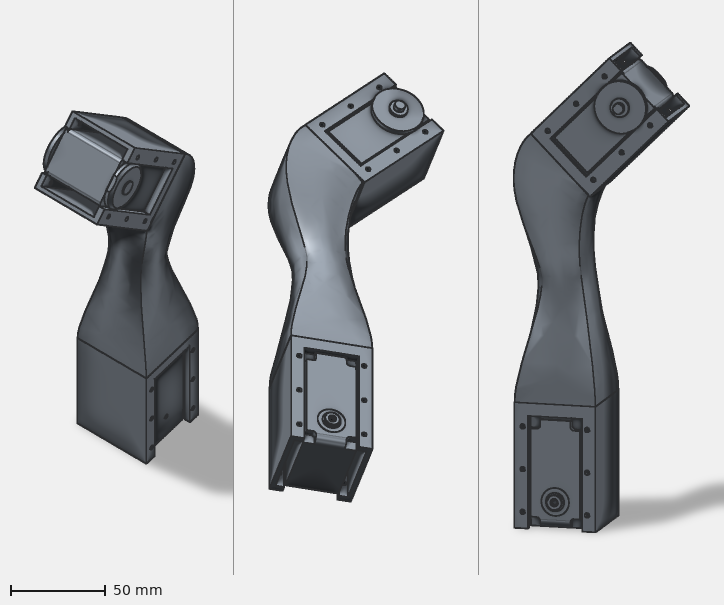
import cadquery as cq
import math

TOTAL_HEIGHT = 255.0
BASE_WIDTH = 46.5
BASE_DEPTH = 44.5
BASE_LENGTH = 67.5
HEAD_WIDTH = 41.8
HEAD_DEPTH = 45.7
HEAD_LENGTH = 60.7
HEAD_TILT = 45
HEAD_START_Y = -2.3

HEAD_TILT_ANGLE = math.radians(HEAD_TILT)
HEAD_RISE = HEAD_LENGTH * math.cos(HEAD_TILT_ANGLE) + HEAD_DEPTH / 2 * math.sin(HEAD_TILT_ANGLE)
HEAD_START = (HEAD_START_Y, TOTAL_HEIGHT - HEAD_RISE)

WAIST_RADIUS = 15.3
WAIST_CENTRE = (0.0, 135.2)
WAIST_LEAN = 8
SPINE_PULL = 0.8
SECTIONS_PER_HALF = 6
NECK_STEP = 0.13

BASE_FLOOR = 7.0
HEAD_FLOOR = 6.0
SHELL_WALL = 2.5
LEFT_WALL = 3.0
RIGHT_WALL = 3.5
SCREW_OFFSET = 17.5
SCREW_INSET = 9.0
SCREWS_PER_ROW = 3

SERVO_LEFT_INSET = 2.5
SERVO_RIGHT_INSET = 4.0
SERVO_END_GAP = 0.8
CAP_INSET = 0.8
CAP_MARGIN = 1.0
CAP_FLOOR_GAP = 1.8

BASE_WINDOW = 29.8
BASE_SERVO_DEPTH = 28.8
BASE_SCREW_PITCH = 23.0
BASE_SCREW_DIAMETER = 2.5
BASE_SHAFT_INSET = 15.0
HEAD_WINDOW = 27.5
HEAD_SERVO_DEPTH = 27.5
HEAD_SCREW_PITCH = 22.0
HEAD_SCREW_DIAMETER = 2.5
HEAD_SHAFT_INSET = 13.3

NOTCH_DEPTH_Y = 6.0
NOTCH_LENGTH = 7.0
END_NOTCH_LENGTH = 5.5
NOTCH_CUT = 3.8
NOTCH_RADIUS = 2.0
END_ROUND = 4.5
SHAFT_BOSS = 1.5
SHAFT_RING_DIAMETER = 15.0
SHAFT_RING_HEIGHT = 0.3
SHAFT_STEP_DIAMETER = 10.0
SHAFT_STEP_HEIGHT = 0.8
SHAFT_DIAMETER = 8.0
SHAFT_BORE_DIAMETER = 4.0
SHAFT_BORE_DEPTH = 1.5
SHAFT_HOLE_DIAMETER = 2.5

HEAD_EDGE_ROUND = 2.0
HORN_DIAMETER = 28.0
HORN_GAP = 0.3
HORN_THICKNESS = 2.8
HUB_DIAMETER = 10.0
HUB_HEIGHT = 1.5
PIN_DIAMETER = 5.5
PIN_HEIGHT = 2.8
IDLER_CHAMFER = 1.8
IDLER_BOSS_DIAMETER = 8.0
IDLER_BOSS_HEIGHT = 0.8


def block(x0, x1, depth, z0, z1):
    """Box between two X and two Z positions, centred on Y."""
    origin = cq.Workplane("XY", origin=(x0, 0, z0))
    return origin.box(x1 - x0, depth, z1 - z0, centered=(False, True, False))


def disc(x0, x1, diameter, z):
    """Cylinder along X, centred on Y."""
    return cq.Workplane("YZ", origin=(x0, 0, 0)).center(0, z).circle(diameter / 2).extrude(x1 - x0)


def shell(width, depth, length, floor, window, screw_pitch, screw_diameter):
    """Housing box with an open end, side windows and two rows of screw holes."""
    left, right = -width / 2, width / 2
    body = block(left, right, depth, 0, length)
    body = body.cut(block(left + LEFT_WALL, right - RIGHT_WALL, depth - 2 * SHELL_WALL, floor, length))
    body = body.cut(block(left, right, window, floor, length))
    for row in (-1, 1):
        for i in range(SCREWS_PER_ROW):
            z = length - SCREW_INSET - i * screw_pitch
            hole = disc(left, right, screw_diameter, z).translate((0, row * SCREW_OFFSET, 0))
            body = body.cut(hole)
    return body


def servo_cap(width, servo_depth, length, floor):
    """Raised plate on the -X face of a servo."""
    left = -width / 2
    cap_depth = servo_depth - 2 * CAP_MARGIN
    bottom, top = floor + CAP_FLOOR_GAP, length - SERVO_END_GAP
    return block(left + CAP_INSET, left + SERVO_LEFT_INSET, cap_depth, bottom, top)


def base_servo():
    left, right = -BASE_WIDTH / 2, BASE_WIDTH / 2
    end = BASE_LENGTH - SERVO_END_GAP
    servo = block(left + SERVO_LEFT_INSET, right - SERVO_RIGHT_INSET, BASE_SERVO_DEPTH, BASE_FLOOR, end)
    servo = servo.union(servo_cap(BASE_WIDTH, BASE_SERVO_DEPTH, BASE_LENGTH, BASE_FLOOR))
    servo = servo.edges("<X and >Z").fillet(END_ROUND)
    for side in (-1, 1):
        for z, length in ((BASE_FLOOR, NOTCH_LENGTH), (end, END_NOTCH_LENGTH)):
            notch = (
                cq.Workplane("YZ", origin=(left, side * BASE_SERVO_DEPTH / 2, z))
                .rect(2 * NOTCH_DEPTH_Y, 2 * length)
                .extrude(CAP_INSET + NOTCH_CUT)
                .edges("|X")
                .fillet(NOTCH_RADIUS)
            )
            servo = servo.cut(notch)
    return servo


def base_housing():
    left, right = -BASE_WIDTH / 2, BASE_WIDTH / 2
    shaft_z = BASE_LENGTH - BASE_SHAFT_INSET
    face = left + CAP_INSET
    body = shell(
        BASE_WIDTH, BASE_DEPTH, BASE_LENGTH, BASE_FLOOR,
        BASE_WINDOW, BASE_SCREW_PITCH, BASE_SCREW_DIAMETER,
    )
    body = body.union(base_servo())
    body = body.union(disc(face - SHAFT_RING_HEIGHT, face, SHAFT_RING_DIAMETER, shaft_z))
    body = body.union(disc(face - SHAFT_STEP_HEIGHT, face, SHAFT_STEP_DIAMETER, shaft_z))
    body = body.union(disc(left - SHAFT_BOSS, face, SHAFT_DIAMETER, shaft_z))
    tip = left - SHAFT_BOSS
    body = body.cut(disc(tip, tip + SHAFT_BORE_DEPTH, SHAFT_BORE_DIAMETER, shaft_z))
    body = body.cut(disc(tip, right, SHAFT_HOLE_DIAMETER, shaft_z))
    return body.rotate((0, 0, 0), (1, 0, 0), 180).translate((0, 0, BASE_LENGTH))


def head_servo():
    left, right = -HEAD_WIDTH / 2, HEAD_WIDTH / 2
    end = HEAD_LENGTH - SERVO_END_GAP
    servo = block(left + SERVO_LEFT_INSET, right - SERVO_RIGHT_INSET, HEAD_SERVO_DEPTH, HEAD_FLOOR, end)
    servo = servo.edges("|X and >Z").fillet(HEAD_EDGE_ROUND)
    return servo.union(servo_cap(HEAD_WIDTH, HEAD_SERVO_DEPTH, HEAD_LENGTH, HEAD_FLOOR))


def head_horn(shaft_z):
    """Drive disc, hub and pin on the -X side."""
    left = -HEAD_WIDTH / 2
    disc_inner = left - HORN_GAP
    disc_outer = disc_inner - HORN_THICKNESS
    hub_outer = disc_outer - HUB_HEIGHT
    horn = disc(disc_outer, disc_inner, HORN_DIAMETER, shaft_z)
    horn = horn.union(disc(hub_outer, left + CAP_INSET, HUB_DIAMETER, shaft_z))
    return horn.union(disc(hub_outer - PIN_HEIGHT, hub_outer, PIN_DIAMETER, shaft_z))


def head_idler(shaft_z):
    """Chamfered disc and boss on the +X side."""
    right = HEAD_WIDTH / 2
    idler = disc(right - SERVO_RIGHT_INSET, right, HORN_DIAMETER, shaft_z)
    idler = idler.faces(">X").chamfer(IDLER_CHAMFER)
    idler = idler.intersect(block(0, right, HEAD_DEPTH, 0, HEAD_LENGTH))
    return idler.union(disc(right, right + IDLER_BOSS_HEIGHT, IDLER_BOSS_DIAMETER, shaft_z))


def head_housing():
    shaft_z = HEAD_LENGTH - HEAD_SHAFT_INSET
    body = shell(
        HEAD_WIDTH, HEAD_DEPTH, HEAD_LENGTH, HEAD_FLOOR,
        HEAD_WINDOW, HEAD_SCREW_PITCH, HEAD_SCREW_DIAMETER,
    )
    body = body.union(head_servo()).union(head_horn(shaft_z)).union(head_idler(shaft_z))
    return body.rotate((0, 0, 0), (1, 0, 0), HEAD_TILT).translate((0, *HEAD_START))


WAIST_CORNER = WAIST_RADIUS / math.sqrt(2)
BASE_STATION = (0, BASE_LENGTH, 0, BASE_WIDTH / 2 - NECK_STEP, BASE_DEPTH / 2 - NECK_STEP, 0)
WAIST_STATION = (*WAIST_CENTRE, -WAIST_LEAN, WAIST_CORNER, WAIST_CORNER, WAIST_RADIUS - WAIST_CORNER)
HEAD_STATION = (*HEAD_START, HEAD_TILT, HEAD_WIDTH / 2 - NECK_STEP, HEAD_DEPTH / 2 - NECK_STEP, 0)


def spine_direction(tilt):
    return (-math.sin(math.radians(tilt)), math.cos(math.radians(tilt)))


def blend_station(start, end, t):
    """Station a fraction t along the neck half: cubic spine, smooth-step section."""
    ease = t * t * (3 - 2 * t)
    reach = SPINE_PULL * math.dist(start[:2], end[:2])
    start_pull = t * (1 - t) ** 2 * reach
    end_pull = t * t * (t - 1) * reach
    start_dir, end_dir = spine_direction(start[2]), spine_direction(end[2])
    spine = [
        start[i] + (end[i] - start[i]) * ease + start_pull * start_dir[i] + end_pull * end_dir[i]
        for i in range(2)
    ]
    slope = [
        6 * t * (1 - t) * (end[i] - start[i])
        + reach * ((1 - t) * (1 - 3 * t) * start_dir[i] + t * (3 * t - 2) * end_dir[i])
        for i in range(2)
    ]
    tilt = math.degrees(math.atan2(-slope[0], slope[1]))
    section = [start[i] + (end[i] - start[i]) * ease for i in range(3, 6)]
    return (*spine, tilt, *section)


def section_wire(station):
    """Four sides, straight or bulging, between four corners."""
    y, z, tilt, half_width, half_depth, bulge = station
    normal = spine_direction(tilt)
    plane = cq.Plane(origin=(0, y, z), xDir=(1, 0, 0), normal=(0, *normal))
    outline = cq.Workplane(plane).moveTo(-half_width, -half_depth)
    corners = [(1, -1), (1, 1), (-1, 1), (-1, -1)]
    outward = [(0, -1), (1, 0), (0, 1), (-1, 0)]
    for corner, side in zip(corners, outward):
        end = (corner[0] * half_width, corner[1] * half_depth)
        if bulge > 0:
            middle = (side[0] * (half_width + bulge), side[1] * (half_depth + bulge))
            outline = outline.threePointArc(middle, end)
        else:
            outline = outline.lineTo(*end)
    return outline.wire().val()


def neck():
    stations = [BASE_STATION]
    for start, end in ((BASE_STATION, WAIST_STATION), (WAIST_STATION, HEAD_STATION)):
        stations += [blend_station(start, end, i / SECTIONS_PER_HALF) for i in range(1, SECTIONS_PER_HALF)]
        stations.append(end)
    return cq.Workplane(cq.Solid.makeLoft([section_wire(s) for s in stations]))


result = base_housing().union(neck()).union(head_housing())